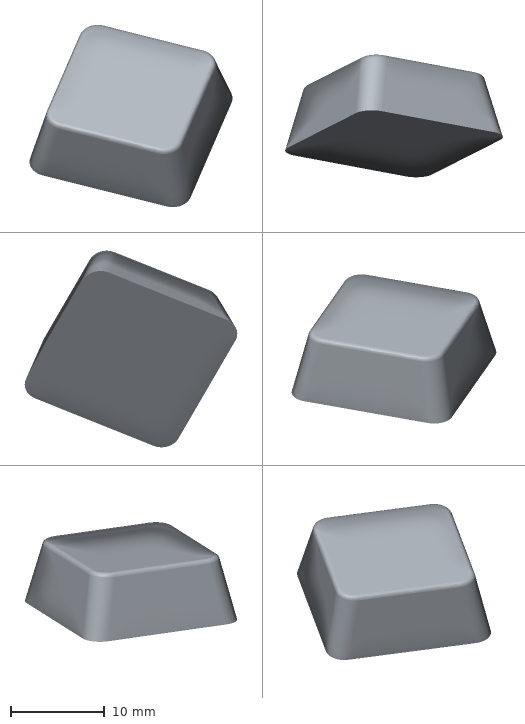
import cadquery as cq

base_side = 18.0
height = 7.0
side_inset = 1.5
corner_radius = 2.0
top_edge_radius = 0.5

top_side = base_side - 2 * side_inset


def rounded_square(side):
    """Square outline with rounded corners, centred on the origin."""
    return cq.Sketch().rect(side, side).vertices().fillet(corner_radius)


body = (
    cq.Workplane("XY")
    .placeSketch(
        rounded_square(base_side),
        rounded_square(top_side).moved(cq.Location(cq.Vector(0, 0, height))),
    )
    .loft()
)

result = body.faces(">Z").edges().fillet(top_edge_radius)